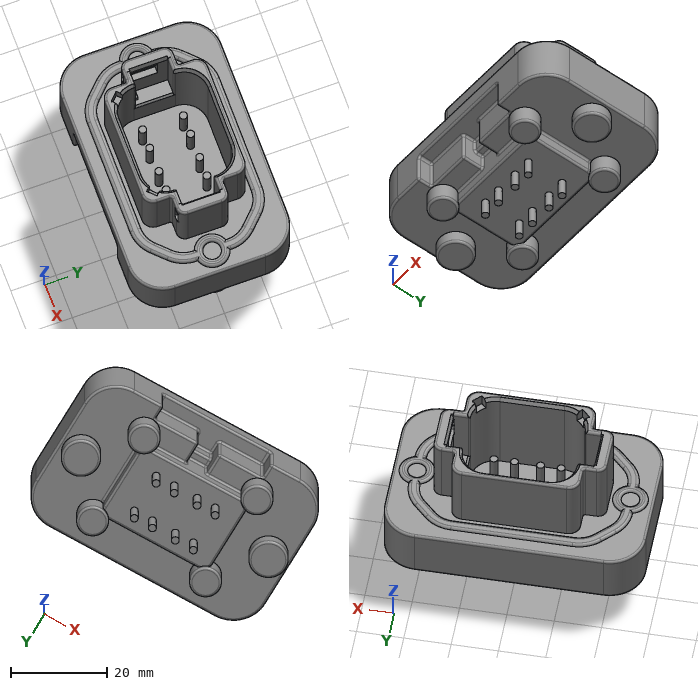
import cadquery as cq
import math

FLANGE_X = 55.12
FLANGE_Y = 35.26
FLANGE_TOP = 11.05
FLANGE_CORNER_R = 7.6

EDGE_R = 0.5

RECESS_X = 25.9
RECESS_TOP = 7.1
RECESS_DEPTH = 3.5
RECESS_CORNER_R = 0.6
SLOT_X = 4.9
SLOT_DEPTH = 3.1
SLOT_STEP_Z = 3.8

RIDGE_HEIGHT = 0.5
RIDGE_EMBED = 0.3
RIDGE_TOP = FLANGE_TOP + RIDGE_HEIGHT
RIDGE_BASE = FLANGE_TOP - RIDGE_EMBED
RIDGE_HALF_X = 23.66
RIDGE_HALF_Y = 14.65
RIDGE_DIAGONAL = 30.85
RIDGE_R = 8.1
RIDGE_WIDTH = 2.45
RIDGE_EDGE_R = 0.7
RING_X = 22.55
RING_R = 3.76
RING_HOLE_R = 1.9

SHROUD_TOP = 25.8
SHROUD_X = 27.16
SHROUD_Y = 22.74
SHROUD_CORNER_R = 2.5
EAR_SPAN_X = 36.5
EAR_Y = 11.3
EAR_CORNER_R = 1.9

CAVITY_X = 24.2
CAVITY_Y = 19.8
CAVITY_CORNER_R = 5.3
FLOOR_THICKNESS = 2.0
CAVITY_FLOOR = SLOT_STEP_Z + FLOOR_THICKNESS
EAR_POCKET_SPAN_X = 31.2
EAR_POCKET_Y = 8.4
EAR_FLOOR = 13.0
LEAD_IN = 0.6
LEAD_IN_HEIGHT = 0.8
EAR_END_LEAD_IN = 0.5
EAR_END_HEIGHT = 1.0
EAR_SIDE_ROUND_R = 0.6
EAR_MOUTH_R = 0.35
EAR_FLOOR_CHAMFER = 0.45

WINDOW_X_MIN = 15.43
WINDOW_X_MAX = 17.05
WINDOW_Z_MIN = 19.25
WINDOW_Z_MAX = 24.0
WINDOW_Y_END = 1.9

KEY_NOTCH_WIDTH = 2.4
KEY_NOTCH_DEPTH = 1.35
KEY_NOTCH_HEIGHT = 2.5
KEY_NOTCH_ANGLE = 45
KEY_PAD_X = 1.75
KEY_PAD_Y = 1.1
KEY_PAD_HEIGHT = 1.0
KEY_PAD_CENTER_X = -14.5

BLOCK_X = 26.0
BLOCK_Y = 17.8
BLOCK_BOTTOM = -3.2
BLOCK_CORNER_R = 2.1
CORNER_FOOT_R = 3.33
CORNER_FOOT_X = 13.58
CORNER_FOOT_Y = 10.63
CORNER_FOOT_BOTTOM = -4.25
SIDE_FOOT_R = 4.1
PIN_R = 0.82
PIN_XS = (-7.1, -2.75, 2.75, 7.1)
PIN_Y = 4.52
PIN_TOP = 12.75
PIN_BOTTOM = -7.4

TINY = 0.05

FRONT_Y = -FLANGE_Y / 2
RECESS_FACE_Y = FRONT_Y + RECESS_DEPTH
SLOT_FACE_Y = RECESS_FACE_Y + SLOT_DEPTH
BLOCK_FACE_Y = -BLOCK_Y / 2


def box(x_min, x_max, y_min, y_max, z_min, z_max):
    """Axis-aligned box given by its limits."""
    size = (x_max - x_min, y_max - y_min, z_max - z_min)
    return cq.Workplane("XY").box(*size, centered=False).translate((x_min, y_min, z_min))


def rounded_block(size_x, size_y, z_min, z_max, corner_r):
    """Centred block with rounded vertical corners."""
    block = box(-size_x / 2, size_x / 2, -size_y / 2, size_y / 2, z_min, z_max)
    return block.edges("|Z").fillet(corner_r)


def cylinder(x, y, radius, z_min, z_max):
    """Upright cylinder."""
    return cq.Workplane("XY", origin=(x, y, z_min)).circle(radius).extrude(z_max - z_min)


def limits(x_min, x_max, y_min, y_max, z_min, z_max):
    """Selector for edges whose centres lie inside a box."""
    return cq.selectors.BoxSelector((x_min, y_min, z_min), (x_max, y_max, z_max))


def make_flange():
    """Flange with the stepped recess in its -Y wall and the block below it."""
    flange = rounded_block(FLANGE_X, FLANGE_Y, 0, FLANGE_TOP, FLANGE_CORNER_R)
    flange = flange.faces(">Z").edges().fillet(EDGE_R)

    recess = box(-RECESS_X / 2, RECESS_X / 2, FRONT_Y, RECESS_FACE_Y, 0, RECESS_TOP)
    recess = recess.faces(">Z").edges("|Y").fillet(RECESS_CORNER_R)
    upper_slot = box(-SLOT_X / 2, SLOT_X / 2, FRONT_Y, SLOT_FACE_Y, 0, RECESS_TOP)
    lower_slot = box(-SLOT_X / 2, SLOT_X / 2, FRONT_Y, BLOCK_FACE_Y, 0, SLOT_STEP_Z)
    flange = flange.cut(recess).cut(upper_slot).cut(lower_slot)

    block = rounded_block(BLOCK_X, BLOCK_Y, BLOCK_BOTTOM, SLOT_STEP_Z / 2, BLOCK_CORNER_R)
    flange = flange.union(block.faces("<Z").edges().fillet(EDGE_R))

    underside = limits(-FLANGE_X, FLANGE_X, -FLANGE_Y, FLANGE_Y, -TINY, TINY)
    mouth = limits(-RECESS_X, RECESS_X, FRONT_Y - TINY, FRONT_Y + TINY, TINY, RECESS_TOP + TINY)
    inside = limits(-RECESS_X, RECESS_X, RECESS_FACE_Y - TINY, BLOCK_FACE_Y + TINY, TINY, RECESS_TOP + TINY)
    return flange.edges(underside + mouth + inside).fillet(EDGE_R)


def octagon(inset):
    """Rounded octagonal prism, drawn in from the ridge outline by an inset."""
    half_x = RIDGE_HALF_X - inset
    half_y = RIDGE_HALF_Y - inset
    diagonal = RIDGE_DIAGONAL - inset * math.sqrt(2)
    right_upper = [(half_x, diagonal - half_x), (diagonal - half_y, half_y)]
    right = [(x, -y) for x, y in reversed(right_upper)] + right_upper
    left = [(-x, -y) for x, y in right]
    outline = cq.Workplane("XY", origin=(0, 0, RIDGE_BASE)).polyline(right + left).close()
    return outline.extrude(RIDGE_TOP - RIDGE_BASE).edges("|Z").fillet(RIDGE_R - inset)


def make_ridge():
    """Octagonal sealing ridge that runs into a raised ring around each screw recess."""
    ridge = octagon(0).cut(octagon(RIDGE_WIDTH))
    ridge = ridge.faces(">Z").edges().fillet(RIDGE_EDGE_R)
    for x in (-RING_X, RING_X):
        disc = cylinder(x, 0, RING_R, RIDGE_BASE, RIDGE_TOP)
        hole = cylinder(x, 0, RING_HOLE_R, RIDGE_BASE, RIDGE_TOP)
        ring_middle_r = (RING_R + RING_HOLE_R) / 2
        ring = disc.cut(hole).faces(">Z").edges().fillet(RIDGE_EDGE_R)
        ridge = ridge.cut(cylinder(x, 0, ring_middle_r, RIDGE_BASE, RIDGE_TOP)).union(ring)
    return ridge


def make_shroud():
    """Outside of the shroud: a rounded body with an ear on each X side."""
    body = rounded_block(SHROUD_X, SHROUD_Y, FLANGE_TOP, SHROUD_TOP, SHROUD_CORNER_R)
    ears = rounded_block(EAR_SPAN_X, EAR_Y, FLANGE_TOP, SHROUD_TOP, EAR_CORNER_R)
    shroud = body.union(ears)
    half_x = SHROUD_X / 2
    half_y = EAR_Y / 2
    for side in (-1, 1):
        x = side * half_x
        ear_roots = limits(x - TINY, x + TINY, -half_y - TINY, half_y + TINY, FLANGE_TOP, SHROUD_TOP)
        shroud = shroud.edges("|Z").edges(ear_roots).fillet(EDGE_R)
    return shroud.faces(">Z").edges().fillet(EDGE_R)


def make_cavity():
    """Space inside the main body of the shroud, opened out by a lead-in at the rim."""
    cavity = rounded_block(CAVITY_X, CAVITY_Y, CAVITY_FLOOR, SHROUD_TOP, CAVITY_CORNER_R)
    rim = rounded_block(
        CAVITY_X + 2 * LEAD_IN, CAVITY_Y + 2 * LEAD_IN,
        SHROUD_TOP - LEAD_IN_HEIGHT, SHROUD_TOP, CAVITY_CORNER_R + LEAD_IN,
    )
    rim = rim.faces("<Z").edges().chamfer(LEAD_IN_HEIGHT - TINY, LEAD_IN)
    return cavity.union(rim)


def cut_cavity(part):
    """Hollow the shroud and its ears; the ears have higher floors and eased edges."""
    half_x = EAR_POCKET_SPAN_X / 2
    half_y = EAR_POCKET_Y / 2
    part = part.cut(box(-half_x, half_x, -half_y, half_y, EAR_FLOOR, SHROUD_TOP))
    part = part.cut(rounded_block(CAVITY_X, CAVITY_Y, CAVITY_FLOOR, SHROUD_TOP, CAVITY_CORNER_R))

    side_rims = limits(-half_x, half_x, -half_y - TINY, half_y + TINY, SHROUD_TOP - TINY, SHROUD_TOP + TINY)
    part = part.edges("|X").edges(side_rims).fillet(EAR_SIDE_ROUND_R)

    floor_edges = limits(-half_x + TINY, half_x - TINY, -TINY, TINY, EAR_FLOOR - TINY, EAR_FLOOR + TINY)
    part = part.edges("|Y").edges(floor_edges).chamfer(EAR_FLOOR_CHAMFER)

    mouths = limits(-half_x + TINY, half_x - TINY, -half_y - TINY, half_y + TINY, EAR_FLOOR, SHROUD_TOP)
    part = part.edges("|Z").edges(mouths).fillet(EAR_MOUTH_R)

    slope_foot = (half_x, SHROUD_TOP - EAR_END_HEIGHT)
    slope_head = (half_x + EAR_END_LEAD_IN, SHROUD_TOP)
    slope = [slope_foot, (half_x, SHROUD_TOP), slope_head]
    wedge = cq.Workplane("XZ").polyline(slope).close().extrude(half_y, both=True)
    return part.cut(wedge).cut(wedge.mirror("YZ")).cut(make_cavity())


def cut_windows(part):
    """Latch window entering each ear from its -Y side."""
    window = box(WINDOW_X_MIN, WINDOW_X_MAX, -EAR_Y / 2, WINDOW_Y_END, WINDOW_Z_MIN, WINDOW_Z_MAX)
    return part.cut(window).cut(window.mirror("YZ"))


def cut_key_notches(part):
    """Diagonal notch in the rim at the two -Y corners of the cavity."""
    arc_x = CAVITY_X / 2 - CAVITY_CORNER_R
    arc_y = CAVITY_Y / 2 - CAVITY_CORNER_R
    reach = CAVITY_CORNER_R + KEY_NOTCH_DEPTH
    half_width = KEY_NOTCH_WIDTH / 2
    notch = box(0, reach, -half_width, half_width, SHROUD_TOP - KEY_NOTCH_HEIGHT, SHROUD_TOP)
    notch = notch.rotate((0, 0, 0), (0, 0, 1), -KEY_NOTCH_ANGLE).translate((arc_x, -arc_y, 0))
    return part.cut(notch).cut(notch.mirror("YZ"))


def add_key_pad(part):
    """Small raised pad at the -Y end of the pocket in the -X ear."""
    y_min = -EAR_POCKET_Y / 2
    x_min = KEY_PAD_CENTER_X - KEY_PAD_X / 2
    return part.union(
        box(x_min, x_min + KEY_PAD_X, y_min, y_min + KEY_PAD_Y, EAR_FLOOR, EAR_FLOOR + KEY_PAD_HEIGHT)
    )


def add_feet(part):
    """Round feet under the corners and under the two screw rings."""
    feet = [(x, 0, SIDE_FOOT_R, BLOCK_BOTTOM) for x in (-RING_X, RING_X)]
    for x in (-CORNER_FOOT_X, CORNER_FOOT_X):
        for y in (-CORNER_FOOT_Y, CORNER_FOOT_Y):
            feet.append((x, y, CORNER_FOOT_R, CORNER_FOOT_BOTTOM))
    for x, y, radius, bottom in feet:
        foot = cylinder(x, y, radius, bottom, EDGE_R)
        part = part.union(foot.faces("<Z").edges().fillet(EDGE_R))
    return part


def add_pins(part):
    """Contact pins that stand in the cavity and stick out below the block."""
    for x in PIN_XS:
        for y in (-PIN_Y, PIN_Y):
            part = part.union(cylinder(x, y, PIN_R, PIN_BOTTOM, PIN_TOP))
    return part


result = make_flange().union(make_ridge()).union(make_shroud())
result = cut_cavity(result)
result = cut_windows(result)
result = cut_key_notches(result)
result = add_key_pad(result)
result = add_feet(result)
result = add_pins(result)